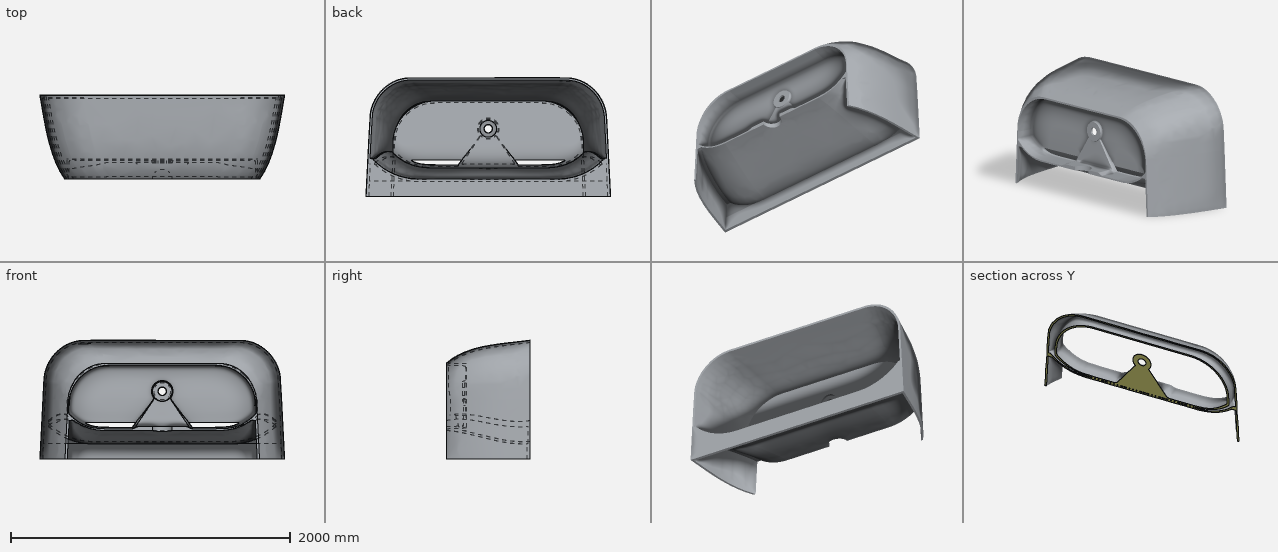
import cadquery as cq
import math


OUTER_STATIONS = [
    (0.0, 695.0, 685.0, 277.0),
    (110.0, 757.0, 755.0, 285.0),
    (325.0, 824.0, 816.0, 297.0),
    (600.0, 874.42, 850.0, 300.0),
]
FRONT_HEIGHT = OUTER_STATIONS[0][2]
FRONT_RADIUS = OUTER_STATIONS[0][3]
DEPTH = OUTER_STATIONS[-1][0]
FULL_WIDTH = 2 * OUTER_STATIONS[-1][1]
SIDE_PANEL_HEIGHT = 425.0
SIDE_SLOPE = 0.050

UNDER_STATIONS = [
    (206.0, 420.0, 355.0),
    (191.0, 440.0, 390.0),
    (139.0, 475.0, 425.0),
    (111.0, 500.0, 460.0),
]
WALL = 16.0
BACK_PLATE = 16.0
BACK_PLATE_STEP = 6.0
BACK_PLATE_STEP_Z = 114.0
UNDER_SHOULDER = 36.0

RIM = 13.0
FLOOR_Z = 217.0
FLOOR_FLAT = 370.0
FLOOR_BEND = (550.0, 240.5)
FLOOR_END_ANGLE = 47.0
RECESS_HALF_WIDTH = 669.0
RECESS_FOOT_Z = 326.0
RECESS_DRAFT = 2.0
RECESS_FILLET = 15.0
RECESS_SHEET = 12.0
FOOT_FILLET = 25.0
PANEL_Y = 134.0
PANEL_RADIUS = 2100.0

PAD_Y = 122.0
PAD_FOOT_HALF = (202.0, 230.0)
PAD_TIP_HALF = (55.0, 62.0)
PAD_TIP_Z = 435.0
STRIP_RISE = 16.0
STRIP_TOP_HALF = 174.0
STRIP_FOOT_HALF = 212.0
STRIP_FILLET = 18.0
PAD_FILLET = 12.0

HUB_Z = 485.0
HUB_Y = 116.0
HUB_RADIUS = 70.0
HUB_FOOT_RADIUS = 77.0
HUB_THICKNESS = 14.0
HUB_POCKET_RADIUS = 60.0
HOLE_RADIUS = 29.0
NOTCH_RADIUS = 71.0

OVERLAP = 20.0


def cross_section(y):
    """Workplane across the cowl at depth y: local x along X, local y along Z, extrudes forward."""
    return cq.Workplane(cq.Plane(origin=(0, y, 0), xDir=(1, 0, 0), normal=(0, -1, 0)))


def region(x_half, y_range, z_range):
    """Selector of edges whose centres lie in a box."""
    low = (-x_half, y_range[0], z_range[0])
    high = (x_half, y_range[1], z_range[1])
    return cq.selectors.BoxSelector(low, high)


def outer_section(y, half_width, height, radius):
    """Closed arch: leaning side panels below one curve over the shoulders and the flat top."""
    lean = math.atan(SIDE_SLOPE)
    centre_z = height - radius
    shoulder_z = centre_z + radius * math.sin(lean)
    shoulder_x = half_width - SIDE_SLOPE * shoulder_z
    centre_x = shoulder_x - radius * math.cos(lean)
    panel_top_x = half_width - SIDE_SLOPE * SIDE_PANEL_HEIGHT
    middle = (lean + math.pi / 2) / 2
    middle_x = centre_x + radius * math.cos(middle)
    middle_z = centre_z + radius * math.sin(middle)

    side_direction = (-math.sin(lean), math.cos(lean))
    right = [
        ((panel_top_x, SIDE_PANEL_HEIGHT), side_direction),
        ((shoulder_x, shoulder_z), side_direction),
        ((middle_x, middle_z), (-math.sin(middle), math.cos(middle))),
        ((centre_x, height), (-1, 0)),
    ]
    left = [((-x, z), (dx, -dz)) for (x, z), (dx, dz) in reversed(right)]
    points = [point for point, _ in right + left]
    tangents = [tangent for _, tangent in right + left]
    return (
        cross_section(y)
        .moveTo(-half_width, 0)
        .lineTo(half_width, 0)
        .lineTo(*points[0])
        .spline(points[1:], tangents, includeCurrent=True)
        .close()
        .val()
    )


def outer_body():
    sections = [outer_section(*station) for station in OUTER_STATIONS]
    return cq.Workplane(cq.Solid.makeLoft(sections))


def under_section(y, half_width, ceiling, flat, radius):
    """Closed outline under the body: a flat ceiling whose ends rise in arcs to level shoulders."""

    def ceiling_z(x):
        return ceiling + radius - math.sqrt(radius**2 - (x - flat) ** 2)

    end_x = half_width - SIDE_SLOPE * ceiling - UNDER_SHOULDER
    end_z = ceiling_z(end_x)
    wall_x = half_width - SIDE_SLOPE * end_z
    middle_x = (end_x + flat) / 2
    middle_z = ceiling_z(middle_x)
    return (
        cross_section(y)
        .moveTo(-half_width, 0)
        .lineTo(-wall_x, end_z)
        .lineTo(-end_x, end_z)
        .threePointArc((-middle_x, middle_z), (-flat, ceiling))
        .lineTo(flat, ceiling)
        .threePointArc((middle_x, middle_z), (end_x, end_z))
        .lineTo(wall_x, end_z)
        .lineTo(half_width, 0)
        .close()
        .val()
    )


def under_space():
    """Space between the side walls, stopping at the back plate."""
    sections = [
        under_section(y, half_width - WALL, *under)
        for (y, half_width, _, _), under in zip(OUTER_STATIONS, UNDER_STATIONS)
    ]
    space = cq.Workplane(cq.Solid.makeLoft(sections))
    plate = cq.Workplane("XY").box(FULL_WIDTH, 2 * BACK_PLATE, 2 * FRONT_HEIGHT)
    foot_depth = BACK_PLATE + BACK_PLATE_STEP
    foot = cq.Workplane("XY").box(FULL_WIDTH, 2 * foot_depth, 2 * BACK_PLATE_STEP_Z)
    return space.cut(plate.union(foot).translate((0, DEPTH, 0)))


def under_filled():
    """Everything below the upper face of the sheet under the body."""
    sections = [
        under_section(y, half_width, ceiling + WALL, flat, end_radius - WALL)
        for (y, half_width, _, _), (ceiling, flat, end_radius) in zip(OUTER_STATIONS, UNDER_STATIONS)
    ]
    return cq.Workplane(cq.Solid.makeLoft(sections))


def recess_prism(margin, extra, draft):
    """Hollow of the recess with sharp edges, enlarged by the margin and deepened by the extra."""
    top = FRONT_HEIGHT - RIM + margin
    radius = FRONT_RADIUS + RIM + margin
    half_width = RECESS_HALF_WIDTH + margin
    floor_z = FLOOR_Z - margin
    foot_z = RECESS_FOOT_Z - margin
    centre_x = half_width - radius
    centre_z = top - radius
    diagonal = radius * math.sqrt(0.5)
    angle = math.radians(FLOOR_END_ANGLE)
    bend_x = FLOOR_BEND[0]
    bend_z = FLOOR_BEND[1] - margin
    rise = (math.cos(angle), math.sin(angle))
    fall = (math.cos(angle), -math.sin(angle))
    return (
        cross_section(0)
        .moveTo(-FLOOR_FLAT, floor_z)
        .lineTo(FLOOR_FLAT, floor_z)
        .spline([(bend_x, bend_z), (half_width, foot_z)], [(1, 0), rise], includeCurrent=True)
        .lineTo(half_width, centre_z)
        .threePointArc((centre_x + diagonal, centre_z + diagonal), (centre_x, top))
        .lineTo(-centre_x, top)
        .threePointArc((-centre_x - diagonal, centre_z + diagonal), (-half_width, centre_z))
        .lineTo(-half_width, foot_z)
        .spline([(-bend_x, bend_z), (-FLOOR_FLAT, floor_z)], [fall, (1, 0)], includeCurrent=True)
        .close()
        .extrude(-PANEL_Y - margin - extra, taper=draft)
    )


def recess_hollow():
    """Hollow of the recess, blended at its edges and closed by the gently domed panel."""
    hollow = recess_prism(0, OVERLAP, RECESS_DRAFT)
    foot_z = (RECESS_FOOT_Z - RECESS_FILLET, RECESS_FOOT_Z + RECESS_FILLET)
    foot_edges = region(RECESS_HALF_WIDTH + 1, (1, PANEL_Y), foot_z)
    hollow = hollow.edges(foot_edges).fillet(FOOT_FILLET)
    dome = (
        cq.Workplane("YZ")
        .center(PANEL_Y + PANEL_RADIUS, HUB_Z)
        .circle(PANEL_RADIUS)
        .extrude(2 * RECESS_HALF_WIDTH, both=True)
    )
    hollow = hollow.cut(dome)
    panel_edges = region(RECESS_HALF_WIDTH, (PANEL_Y - 1, PANEL_Y + OVERLAP), (0, FRONT_HEIGHT))
    return hollow.edges(panel_edges).fillet(RECESS_FILLET)


def pad_outline(y, foot_half, tip_half):
    return (
        cross_section(y)
        .moveTo(-foot_half, FLOOR_Z)
        .lineTo(foot_half, FLOOR_Z)
        .lineTo(tip_half, PAD_TIP_Z)
        .lineTo(-tip_half, PAD_TIP_Z)
        .close()
        .val()
    )


def floor_strip():
    """Raised strip along the floor, blended at its edges and sloped with the floor."""
    base_half = STRIP_FOOT_HALF + 2 * OVERLAP
    strip_top = FLOOR_Z + STRIP_RISE
    strip = (
        cross_section(-OVERLAP)
        .moveTo(-base_half, FLOOR_Z - OVERLAP)
        .lineTo(base_half, FLOOR_Z - OVERLAP)
        .lineTo(base_half, FLOOR_Z)
        .lineTo(STRIP_FOOT_HALF, FLOOR_Z)
        .lineTo(STRIP_TOP_HALF, strip_top)
        .lineTo(-STRIP_TOP_HALF, strip_top)
        .lineTo(-STRIP_FOOT_HALF, FLOOR_Z)
        .lineTo(-base_half, FLOOR_Z)
        .close()
        .extrude(-PANEL_Y - 2 * OVERLAP)
    )
    blends = region(STRIP_FOOT_HALF + 1, (0, PANEL_Y), (FLOOR_Z - 1, strip_top + 1))
    strip = strip.edges("|Y").edges(blends).fillet(STRIP_FILLET)
    return strip.rotate((0, 0, FLOOR_Z), (1, 0, FLOOR_Z), RECESS_DRAFT)


def raised_pad():
    """Tapered pad from the floor strip up to the hub, and the hub itself."""
    outlines = [
        pad_outline(y, foot_half, tip_half)
        for y, foot_half, tip_half in zip((PAD_Y, PANEL_Y + OVERLAP), PAD_FOOT_HALF, PAD_TIP_HALF)
    ]
    pad = cq.Workplane(cq.Solid.makeLoft(outlines, True)).union(floor_strip())
    strip_z = (FLOOR_Z + 1, FLOOR_Z + 2 * STRIP_RISE)
    foot_edge = region(STRIP_TOP_HALF / 2, (PAD_Y - 1, PAD_Y + 1), strip_z)
    pad = pad.edges(foot_edge).fillet(PAD_FILLET)
    hub = cq.Solid.makeCone(
        HUB_RADIUS,
        HUB_FOOT_RADIUS,
        PANEL_Y + 1 - HUB_Y,
        pnt=cq.Vector(0, HUB_Y, HUB_Z),
        dir=cq.Vector(0, 1, 0),
    )
    return pad.union(cq.Workplane(hub))


def inner_void():
    """Hollow behind the recess, inside the skin and above the under sheet, open at the back."""
    sections = [
        outer_section(y, half_width - WALL, height - WALL, radius - WALL)
        for y, half_width, height, radius in OUTER_STATIONS
    ]
    front_land = cq.Workplane("XY").box(FULL_WIDTH, 2 * WALL, 2 * FRONT_HEIGHT)
    recess_shell = recess_prism(RECESS_SHEET, 0, 0)
    pocket_y = HUB_Y + HUB_THICKNESS
    hub_pocket = (
        cross_section(pocket_y)
        .center(0, HUB_Z)
        .circle(HUB_POCKET_RADIUS)
        .extrude(pocket_y - DEPTH / 2)
    )
    return (
        cq.Workplane(cq.Solid.makeLoft(sections))
        .cut(under_filled())
        .cut(front_land)
        .cut(recess_shell)
        .union(hub_pocket)
    )


def lip_notch():
    return cq.Workplane("XY").circle(NOTCH_RADIUS).extrude(FLOOR_Z + STRIP_RISE + OVERLAP)


def hub_hole():
    return cross_section(0).center(0, HUB_Z).circle(HOLE_RADIUS).extrude(-DEPTH)


recess = recess_hollow().cut(raised_pad())
result = (
    outer_body()
    .cut(under_space())
    .cut(inner_void())
    .cut(recess)
    .cut(lip_notch())
    .cut(hub_hole())
)